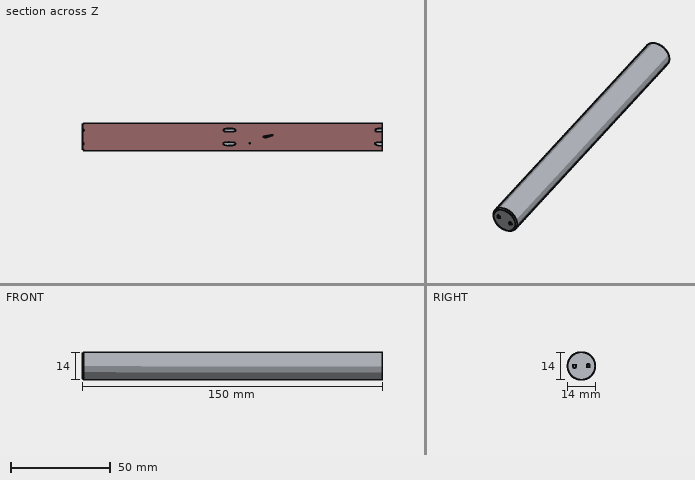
import cadquery as cq
import math

length = 150.0
rod_diameter = 14.0
chamfer = 0.7

channel_diameter = 1.6
channel_pitch_circle = 6.9
channel_start_angle = 11.3
channel_count = 2
helix_angle = 30.0
helix_lead = math.pi * rod_diameter / math.tan(math.radians(helix_angle))
end_overrun = 3.0


def make_rod():
    """Rod centred on the origin, chamfered at its -X end."""
    rod = cq.Workplane("YZ").circle(rod_diameter / 2).extrude(length)
    return rod.faces("<X").chamfer(chamfer).translate((-length / 2, 0, 0))


def make_channel():
    """Right-handed helical cutter that crosses the -X end face on the +Y axis."""
    radius = channel_pitch_circle / 2
    cutter_length = length + 2 * end_overrun
    path = cq.Wire.makeHelix(helix_lead, cutter_length, radius)
    start_plane = cq.Plane(
        origin=(radius, 0, 0),
        xDir=(1, 0, 0),
        normal=(0, 2 * math.pi * radius, helix_lead),
    )
    section = cq.Workplane(start_plane).circle(channel_diameter / 2)
    channel = section.sweep(cq.Workplane(obj=path), isFrenet=True)
    channel = channel.rotate((0, 0, 0), (1, 1, 1), 120)
    overrun_turn = 360 * end_overrun / helix_lead
    channel = channel.translate((-length / 2 - end_overrun, 0, 0))
    return channel.rotate((0, 0, 0), (1, 0, 0), -overrun_turn)


result = make_rod()
channel = make_channel()
for index in range(channel_count):
    angle = channel_start_angle + index * 360 / channel_count
    result = result.cut(channel.rotate((0, 0, 0), (1, 0, 0), angle))